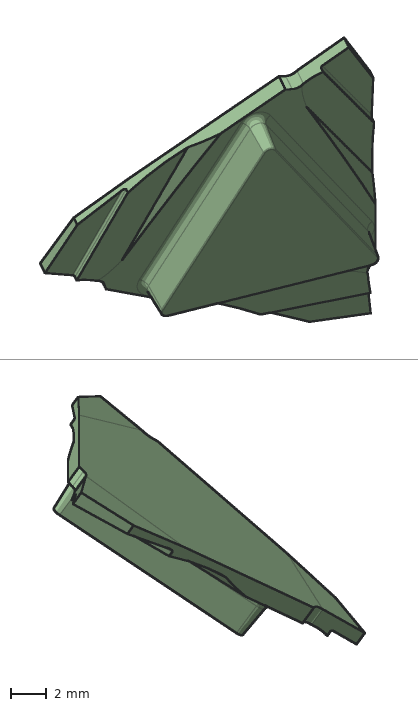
import cadquery as cq
import math

CORNERS = 3
CORNER_STEP = 360 / CORNERS

side_distance = 7.1
plate_thickness = 1.1
tip = (6.865, -10.39)
flank_end_z = -10.12
front_edge_end = (6.645, -7.10)
notch_arc_middle = (6.64, -6.71)
notch_arc_end = (6.80, -6.42)
notch_end_z = -6.13

fold_far_end = (-0.075, -8.17)
relief_angle = 2.5

former_tilt = 3.75
former_y = 6.74
wall_z = -8.42
floor_height = 0.86
floor_slope = 0.045
foot_radius = 0.12
ridge_height = 1.27
groove_low_z = -7.3
groove_end = (1.22, -6.31)
ramp_middle = (1.62, -5.75)
ramp_end = (1.94, -5.15)
former_top = 3.0
former_overrun = 2.0
former_length = 16.0
former_outer_z = -13.0

overall_height = 3.5
boss_base = 1.57
boss_corner_offset = 6.95
boss_corner_radius = 0.55
boss_draft = 4.0
boss_root_radius = 0.45
boss_rim_radius = 0.07


def turned(point, angle):
    """Rotate a (Y, Z) point about the X axis."""
    y, z = point
    c = math.cos(math.radians(angle))
    s = math.sin(math.radians(angle))
    return (y * c - z * s, y * s + z * c)


def turned_solid(solid, angle):
    return solid.rotate((0, 0, 0), (1, 0, 0), angle)


def long_side_y(z):
    """Y of the lower long side, whose normal points to 240 degrees."""
    normal = math.radians(240)
    return (side_distance - z * math.sin(normal)) / math.cos(normal)


def plate(thickness):
    flank_end = (long_side_y(flank_end_z), flank_end_z)
    notch_end = (side_distance, notch_end_z)
    outline = cq.Workplane("YZ").moveTo(*flank_end)
    for i in range(CORNERS):
        angle = i * CORNER_STEP
        outline = (
            outline.lineTo(*turned(tip, angle))
            .lineTo(*turned(front_edge_end, angle))
            .threePointArc(turned(notch_arc_middle, angle), turned(notch_arc_end, angle))
            .lineTo(*turned(notch_end, angle))
        )
        if i < CORNERS - 1:
            outline = outline.lineTo(*turned(flank_end, angle + CORNER_STEP))
    return outline.close().extrude(thickness)


def ridge_stock():
    """Corner of the outline, tall enough to carve the raised ridge from."""
    depth = groove_low_z - former_outer_z
    corner_box = cq.Workplane("XY").box(
        2 * former_top, former_length, depth, centered=(True, True, False)
    ).translate((0, 0, former_outer_z))
    return plate(former_top / 2).intersect(corner_box)


def chip_former():
    """Cutter above the tip floor, step wall, ridge, groove and ramp."""
    floor_end = floor_height + floor_slope * (wall_z - former_outer_z)
    foot_bend = foot_radius * (1 - math.sqrt(0.5))
    profile = (
        cq.Workplane("XZ", origin=(0, former_y + former_overrun, 0))
        .moveTo(floor_end, former_outer_z)
        .lineTo(floor_height, wall_z - foot_radius)
        .threePointArc(
            (floor_height + foot_bend, wall_z - foot_bend),
            (floor_height + foot_radius, wall_z),
        )
        .lineTo(ridge_height, wall_z)
        .threePointArc((plate_thickness, groove_low_z), groove_end)
        .threePointArc(ramp_middle, ramp_end)
        .lineTo(former_top, ramp_end[1])
        .lineTo(former_top, former_outer_z)
        .close()
    )
    axis_start = (plate_thickness, former_y, 0)
    axis_end = (plate_thickness, former_y, 1)
    return profile.extrude(former_length).rotate(axis_start, axis_end, -former_tilt)


def tip_relief():
    """Cutter that tilts the back face away beyond the fold line."""
    reach = 5.0
    overrun = 3.0
    fold_y = front_edge_end[0] - fold_far_end[0]
    fold_z = front_edge_end[1] - fold_far_end[1]
    fold_length = math.hypot(fold_y, fold_z)
    fold_plane = cq.Plane(
        origin=(0, *fold_far_end),
        xDir=(0, -fold_z / fold_length, fold_y / fold_length),
        normal=(0, fold_y, fold_z),
    )
    rise = reach * math.tan(math.radians(relief_angle))
    return (
        cq.Workplane(fold_plane)
        .workplane(offset=-overrun)
        .polyline([(0, 0), (-reach, 0), (-reach, rise)])
        .close()
        .extrude(fold_length + 2 * overrun)
    )


def boss():
    """Drafted triangular boss with rounded corners, one corner toward +Z."""
    draft = math.tan(math.radians(boss_draft))
    root_growth = (boss_base - plate_thickness) * draft
    root_radius = boss_corner_radius + root_growth
    circumradius = boss_corner_offset + 2 * root_radius
    corners = [turned((0, circumradius), i * CORNER_STEP) for i in range(CORNERS)]
    height = overall_height - plate_thickness
    return (
        cq.Workplane("YZ", origin=(plate_thickness, 0, 0))
        .sketch()
        .polygon(corners + corners[:1])
        .vertices()
        .fillet(root_radius)
        .finalize()
        .extrude(height, taper=boss_draft)
        .faces(">X")
        .edges()
        .fillet(boss_rim_radius)
    )


def plate_with_boss():
    """Flat plate and boss, joined by the root fillet around the boss."""
    blank_radius = 2 * side_distance
    blank = cq.Workplane("YZ").circle(blank_radius).extrude(plate_thickness)
    blank = blank.union(boss())
    root_edges = cq.selectors.BoxSelector(
        (plate_thickness - 0.01, -side_distance, -side_distance),
        (plate_thickness + 0.01, side_distance, blank_radius / 2 + boss_corner_radius),
    )
    blank = blank.edges(root_edges).fillet(boss_root_radius)
    return blank.intersect(plate(overall_height))


stock = ridge_stock()
former = chip_former()
relief = tip_relief()
result = plate_with_boss()
for i in range(CORNERS):
    result = result.union(turned_solid(stock, i * CORNER_STEP))
for i in range(CORNERS):
    result = result.cut(turned_solid(former, i * CORNER_STEP))
    result = result.cut(turned_solid(relief, i * CORNER_STEP))